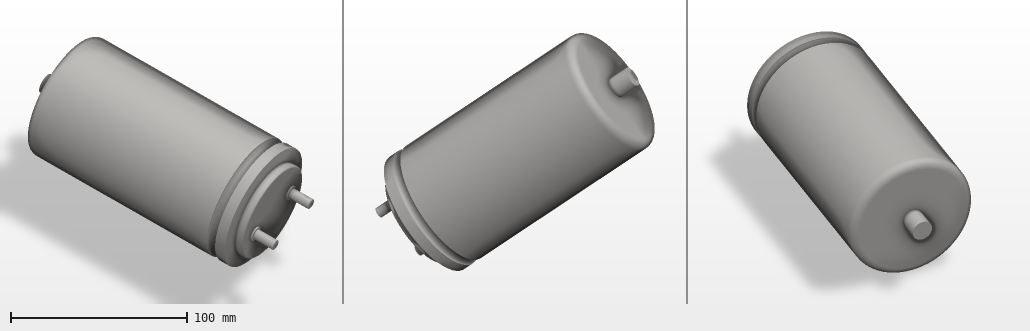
import cadquery as cq

total_length = 172.0
can_radius = 76.5 / 2

can_base_x = 12.5
groove_start_x = 139.0
groove_end_x = 144.7
rim_end_x = 151.2
lid_start_x = 152.5
lid_end_x = 157.5

base_rounding = 4.8
groove_depth = (groove_end_x - groove_start_x) / 2
lid_radius = 30.0
lid_rounding = 1.0

bolt_radius = 6.0
terminal_pitch = 35.0
terminal_radius = 3.1
collar_radius = 4.5
collar_height = 1.0


def rod(start_x, end_x, radius, y=0.0):
    """Solid cylinder along X, centred on the given Y and on Z = 0."""
    return (
        cq.Workplane("YZ", origin=(start_x, y, 0))
        .circle(radius)
        .extrude(end_x - start_x)
    )


def can():
    """Can with a half-round bead groove and a shallow cone leading to the lid."""
    groove_middle_x = (groove_start_x + groove_end_x) / 2
    profile = (
        cq.Workplane("XY")
        .moveTo(can_base_x, 0)
        .lineTo(can_base_x, can_radius)
        .lineTo(groove_start_x, can_radius)
        .threePointArc((groove_middle_x, can_radius - groove_depth), (groove_end_x, can_radius))
        .lineTo(rim_end_x, can_radius)
        .lineTo(lid_start_x, lid_radius)
        .lineTo(lid_start_x, 0)
        .close()
    )
    body = profile.revolve(360, (0, 0, 0), (1, 0, 0))
    return body.faces("<X").edges().fillet(base_rounding)


def lid():
    """Raised lid disc with a rounded outer edge."""
    disc = rod(lid_start_x, lid_end_x, lid_radius)
    return disc.faces(">X").edges().fillet(lid_rounding)


def terminal(y):
    """Round terminal pin standing on a low collar."""
    collar = rod(lid_end_x, lid_end_x + collar_height, collar_radius, y)
    pin = rod(lid_end_x, total_length, terminal_radius, y)
    return collar.union(pin)


bolt = rod(0, can_base_x, bolt_radius)

result = can().union(lid()).union(bolt)
for side in (-1, 1):
    result = result.union(terminal(side * terminal_pitch / 2))